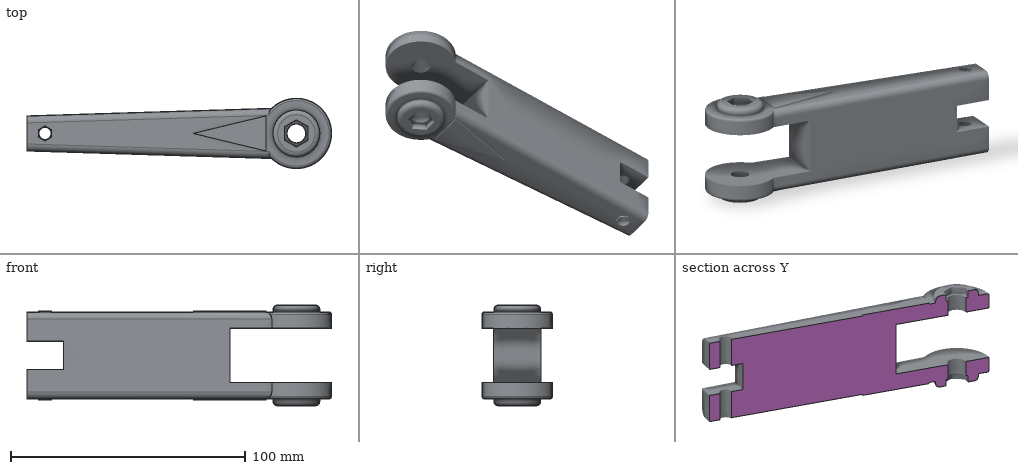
import cadquery as cq
import math

ARM_LENGTH = 115.0
ARM_HALF_WIDTH_START = 7.5
ARM_HALF_WIDTH_PIVOT = 11.05
ARM_HALF_HEIGHT = 18.5
ARM_FILLET = 3.0

SLOT_DEPTH = 15.5
SLOT_HEIGHT = 12.0
FORK_START = 86.7
FORK_GAP = 23.0

EYE_RADIUS = 15.0
EYE_EDGE_FILLET = 1.0
BOSS_RADIUS = 10.0
BOSS_HEIGHT = 3.0
BOSS_FILLET = 2.0
PIVOT_BORE = 8.0
PIVOT_HEX_FLATS = 10.0
PIVOT_HEX_DEPTH = BOSS_HEIGHT

PIN_X = 7.7
PIN_BORE = 5.2
PIN_RIM_FLATS = 5.5

RELIEF_HEIGHT = 0.5
TRIANGLE_TIP_X = 71.0
TRIANGLE_HALF_WIDTH = ARM_HALF_WIDTH_START
TRIANGLE_BASE_X = ARM_LENGTH - math.sqrt(EYE_RADIUS**2 - TRIANGLE_HALF_WIDTH**2)

BOSS_TOP = ARM_HALF_HEIGHT + BOSS_HEIGHT
RELIEF_TOP = ARM_HALF_HEIGHT + RELIEF_HEIGHT
OVERALL_LENGTH = ARM_LENGTH + EYE_RADIUS


def both_faces(upper):
    """The given upper feature together with its mirror image below Z = 0."""
    return upper.union(upper.mirror("XY"))


def cylinder(x, radius, bottom, top):
    return cq.Workplane("XY", origin=(x, 0, bottom)).circle(radius).extrude(top - bottom)


def hex_prism(x, across_flats, bottom, top):
    """Hexagonal prism with two of its corners pointing along Y."""
    corner_diameter = across_flats / math.cos(math.pi / 6)
    prism = cq.Workplane("XY").polygon(6, corner_diameter).extrude(top - bottom)
    return prism.rotate((0, 0, 0), (0, 0, 1), 90).translate((x, 0, bottom))


def block(x_start, x_end, height):
    """Cutting block through the full width, centred on Z = 0."""
    return cq.Workplane("XY", origin=(x_start, 0, 0)).box(
        x_end - x_start, 2 * EYE_RADIUS, height, centered=(False, True, True)
    )


def tapered_arm():
    outline = [
        (0, -ARM_HALF_WIDTH_START),
        (ARM_LENGTH, -ARM_HALF_WIDTH_PIVOT),
        (ARM_LENGTH, ARM_HALF_WIDTH_PIVOT),
        (0, ARM_HALF_WIDTH_START),
    ]
    arm = (
        cq.Workplane("XY", origin=(0, 0, -ARM_HALF_HEIGHT))
        .polyline(outline)
        .close()
        .extrude(2 * ARM_HALF_HEIGHT)
    )
    long_edges = arm.faces("|Z").edges("not |Y")
    return long_edges.fillet(ARM_FILLET)


def pivot_eye():
    eye = cylinder(ARM_LENGTH, EYE_RADIUS, FORK_GAP / 2, ARM_HALF_HEIGHT)
    eye = eye.faces(">Z").edges().fillet(EYE_EDGE_FILLET)
    boss = cylinder(ARM_LENGTH, BOSS_RADIUS, FORK_GAP / 2, BOSS_TOP)
    boss = boss.faces(">Z").edges().fillet(BOSS_FILLET)
    return eye.union(boss)


def raised_triangle():
    outline = [
        (TRIANGLE_TIP_X, 0),
        (TRIANGLE_BASE_X, -TRIANGLE_HALF_WIDTH),
        (TRIANGLE_BASE_X, TRIANGLE_HALF_WIDTH),
    ]
    base = ARM_HALF_HEIGHT - RELIEF_HEIGHT
    triangle = cq.Workplane("XY", origin=(0, 0, base)).polyline(outline).close()
    return triangle.extrude(RELIEF_TOP - base)


def raised_rim():
    return hex_prism(PIN_X, PIN_RIM_FLATS, ARM_HALF_HEIGHT - RELIEF_HEIGHT, RELIEF_TOP)


def hex_socket():
    return hex_prism(ARM_LENGTH, PIVOT_HEX_FLATS, BOSS_TOP - PIVOT_HEX_DEPTH, BOSS_TOP)


slot = block(0, SLOT_DEPTH, SLOT_HEIGHT)
fork_opening = block(FORK_START, OVERALL_LENGTH, FORK_GAP)
pivot_bore = cylinder(ARM_LENGTH, PIVOT_BORE / 2, -BOSS_TOP, BOSS_TOP)
pin_bore = cylinder(PIN_X, PIN_BORE / 2, -RELIEF_TOP, RELIEF_TOP)

result = (
    tapered_arm()
    .cut(slot)
    .cut(fork_opening)
    .union(both_faces(pivot_eye()))
    .union(both_faces(raised_triangle()))
    .union(both_faces(raised_rim()))
    .cut(both_faces(hex_socket()))
    .cut(pivot_bore)
    .cut(pin_bore)
)